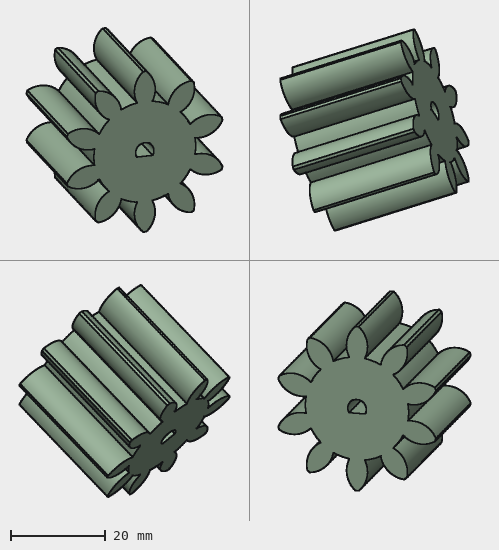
import cadquery as cq
import math

face_width = 28.0
tip_radius = 18.0
root_radius = 11.25
tooth_count = 10

flank_radius = 5.7
widest_radius = 13.7
tooth_half_width = 2.3

bore_radius = 2.0
bore_flat_drop = 1.0

base_height = 10.8


def flank_half_width(height):
    """Half the tooth width at a given height above the gear axis."""
    rise = height - widest_radius
    inset = flank_radius - math.sqrt(flank_radius**2 - rise**2)
    return tooth_half_width - inset


def profile_plane():
    """YZ sketch plane centred across the face width."""
    return cq.Workplane("YZ").workplane(offset=-face_width / 2)


def make_tooth():
    """Upright tooth with convex flanks, trimmed by the tip cylinder."""
    base_half_width = flank_half_width(base_height)
    tip_half_width = flank_half_width(tip_radius)
    blank = (
        profile_plane()
        .moveTo(-base_half_width, base_height)
        .threePointArc((-tooth_half_width, widest_radius), (-tip_half_width, tip_radius))
        .lineTo(tip_half_width, tip_radius)
        .threePointArc((tooth_half_width, widest_radius), (base_half_width, base_height))
        .close()
        .extrude(face_width)
    )
    return blank.intersect(profile_plane().circle(tip_radius).extrude(face_width))


def make_bore():
    """Through bore with a flat on its lower side."""
    flat_half_width = math.sqrt(bore_radius**2 - bore_flat_drop**2)
    return (
        profile_plane()
        .moveTo(-flat_half_width, -bore_flat_drop)
        .threePointArc((0, bore_radius), (flat_half_width, -bore_flat_drop))
        .close()
        .extrude(face_width)
    )


gear = profile_plane().circle(root_radius).extrude(face_width)
tooth = make_tooth()
for index in range(tooth_count):
    angle = index * 360 / tooth_count
    gear = gear.union(tooth.rotate((0, 0, 0), (1, 0, 0), angle))

result = gear.cut(make_bore())